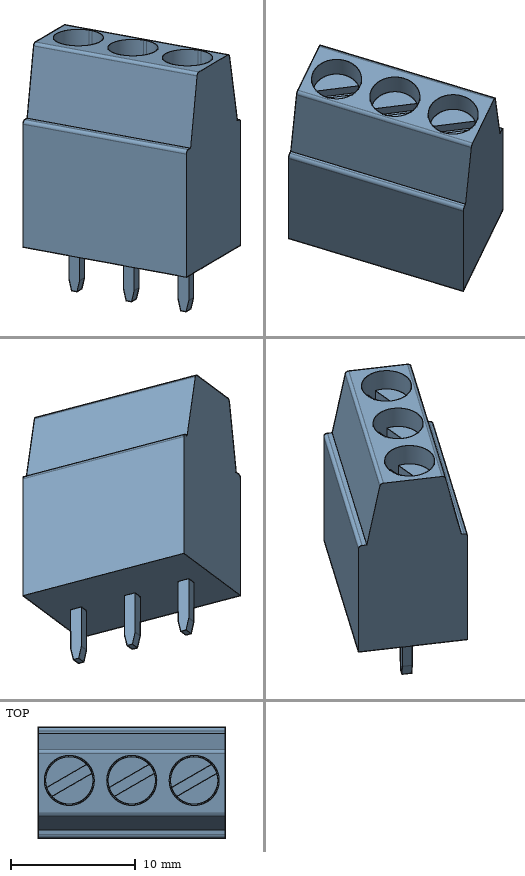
import cadquery as cq
import math

pole_count = 3
housing_length = 15.0
housing_width = 8.9
total_height = 21.3
pin_length = 4.52
pitch = housing_length / pole_count
housing_height = total_height - pin_length

shoulder_height = 10.74
back_shoulder = 0.51
front_shoulder = 0.68
back_top_inset = 1.85
front_top_inset = 1.79
edge_radius = 0.3

well_diameter = 4.0
well_y = 0.2
well_flat_width = 0.3
screw_diameter = 3.8
screw_recess = 1.77
slot_width = 0.83
slot_depth = 0.85
slot_angle = 30.0
screw_head_height = 2 * slot_depth

pin_width = 1.0
pin_thickness = 0.8
pin_y = -0.09
pin_tip_width = pin_width / 2
pin_taper_length = 1.0

pole_x = [(i - (pole_count - 1) / 2) * pitch for i in range(pole_count)]


def make_housing():
    """Stepped, tapered cross-section extruded along X, underside at Z = 0."""
    back = housing_width / 2
    front = -back
    profile = [
        (front, 0),
        (back, 0),
        (back, shoulder_height),
        (back - back_shoulder, shoulder_height),
        (back - back_top_inset, housing_height),
        (front + front_top_inset, housing_height),
        (front + front_shoulder, shoulder_height),
        (front, shoulder_height),
    ]
    body = cq.Workplane("YZ").polyline(profile).close().extrude(housing_length / 2, both=True)

    rounded_corners = [profile[i] for i in (2, 4, 5, 7)]
    for y, z in rounded_corners:
        body = body.edges(cq.selectors.NearestToPointSelector((0, y, z))).fillet(edge_radius)
    return body


def make_well(x):
    """Round well around one screw, trimmed by a narrow flat on its +Y side."""
    radius = well_diameter / 2
    depth = screw_recess + screw_head_height
    half_flat = well_flat_width / 2
    flat_y = math.sqrt(radius**2 - half_flat**2)
    return (
        cq.Workplane("XY", origin=(x, well_y, housing_height - depth))
        .moveTo(-half_flat, flat_y)
        .threePointArc((0, -radius), (half_flat, flat_y))
        .close()
        .extrude(depth)
    )


def make_screw_head(x):
    """Screw head standing on the well floor, with a slot right across it."""
    top = housing_height - screw_recess
    head = (
        cq.Workplane("XY", origin=(x, well_y, top - screw_head_height))
        .circle(screw_diameter / 2)
        .extrude(screw_head_height)
    )
    slot = (
        cq.Workplane("XY", origin=(x, well_y, top))
        .transformed(rotate=(0, 0, slot_angle))
        .rect(well_diameter, slot_width)
        .extrude(-slot_depth)
    )
    return head.cut(slot)


def make_pin(x):
    """Flat pin below the housing, narrowing in X towards its tip."""
    half_width = pin_width / 2
    half_tip = pin_tip_width / 2
    taper_start = pin_taper_length - pin_length
    outline = [
        (-half_width, 0),
        (half_width, 0),
        (half_width, taper_start),
        (half_tip, -pin_length),
        (-half_tip, -pin_length),
        (-half_width, taper_start),
    ]
    return (
        cq.Workplane("XZ", origin=(x, pin_y, 0))
        .polyline(outline)
        .close()
        .extrude(pin_thickness / 2, both=True)
    )


result = make_housing()
for x in pole_x:
    result = result.cut(make_well(x)).union(make_screw_head(x)).union(make_pin(x))